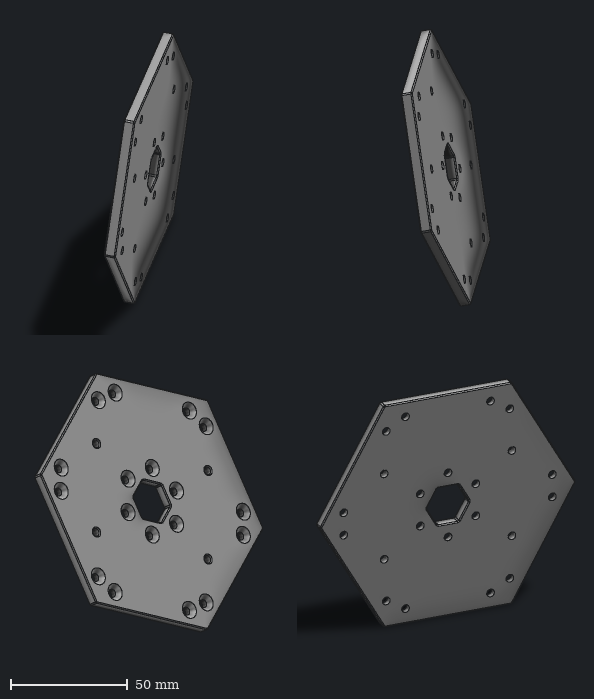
import cadquery as cq
import math

SIDES = 6

overall_width = 119.5
thickness = 5.0
edge_break = 0.5
corner_radius = overall_width / 2 + edge_break / 2
flat_distance = corner_radius * math.cos(math.pi / SIDES)

opening_corner_radius = 10.0

hole_diameter = 3.5
countersink_diameter = 7.5
countersink_angle = 90
inner_circle_radius = 15.0
edge_inset = 6.9
edge_half_spacing = 20.0

plain_hole_diameter = 3.5
plain_spacing_y = 60.0
plain_spacing_z = 40.0

side_angles = [math.radians((side + 0.5) * 360 / SIDES) for side in range(SIDES)]


def hexagonal_prism(circumradius):
    """Hexagonal bar along X, from the -X face to the +X face of the plate."""
    return (
        cq.Workplane("YZ", origin=(-thickness / 2, 0, 0))
        .polygon(SIDES, 2 * circumradius)
        .extrude(thickness)
    )


def inner_hole_points():
    """One hole facing the middle of each side of the opening."""
    return [(inner_circle_radius * math.cos(a), inner_circle_radius * math.sin(a)) for a in side_angles]


def edge_hole_points():
    """Two holes along each side of the plate, set in from the edge."""
    hole_line = flat_distance - edge_inset
    points = []
    for angle in side_angles:
        for along in (-edge_half_spacing, edge_half_spacing):
            y = hole_line * math.cos(angle) - along * math.sin(angle)
            z = hole_line * math.sin(angle) + along * math.cos(angle)
            points.append((y, z))
    return points


def plain_hole_points():
    """Four corners of a rectangle centred on the plate."""
    half_y = plain_spacing_y / 2
    half_z = plain_spacing_z / 2
    return [(y, z) for y in (-half_y, half_y) for z in (-half_z, half_z)]


def drill(body, points, diameter, mouth_diameter):
    """Cut through holes with a conical mouth on the -X face."""
    mouth_plane = cq.Plane(origin=(-thickness / 2, 0, 0), xDir=(0, -1, 0), normal=(-1, 0, 0))
    return (
        body.copyWorkplane(cq.Workplane(mouth_plane))
        .pushPoints([(-y, z) for y, z in points])
        .cskHole(diameter, mouth_diameter, countersink_angle)
    )


plate = hexagonal_prism(corner_radius).edges().chamfer(edge_break)

opening = hexagonal_prism(opening_corner_radius).edges("|X").chamfer(edge_break)
plate = plate.cut(opening)
rim_region = cq.selectors.BoxSelector(
    (-thickness, -opening_corner_radius, -opening_corner_radius),
    (thickness, opening_corner_radius, opening_corner_radius),
)
plate = plate.edges(rim_region).edges("#X").chamfer(edge_break)

screw_points = inner_hole_points() + edge_hole_points()
plate = drill(plate, screw_points, hole_diameter, countersink_diameter)
plain_mouth_diameter = plain_hole_diameter + 2 * edge_break
result = drill(plate, plain_hole_points(), plain_hole_diameter, plain_mouth_diameter)